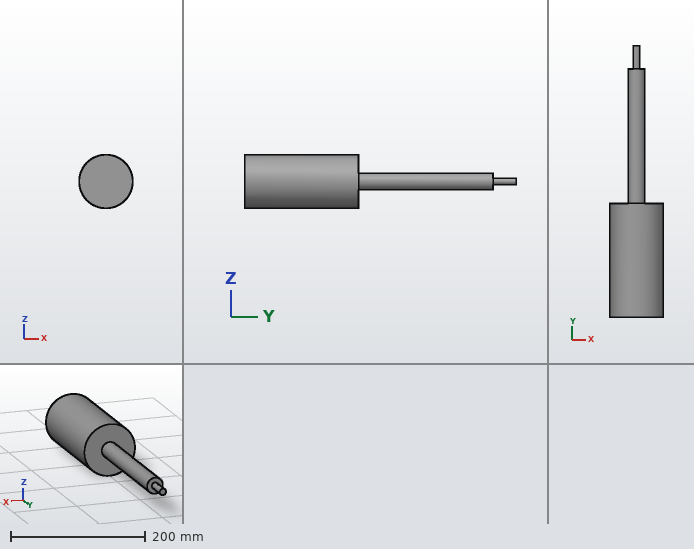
import cadquery as cq

total_length = 405.0
body_diameter = 80.0
body_length = 170.0
rod_diameter = 25.0
tip_diameter = 10.0
tip_length = 35.0

rod_length = total_length - body_length - tip_length


def cylinder_along_y(diameter, length, start_y):
    """Solid cylinder on the Y axis, growing toward +Y from start_y."""
    return cq.Workplane("XZ", origin=(0, start_y, 0)).circle(diameter / 2).extrude(-length)


def make_body():
    """Large cylinder with plain flat ends."""
    return cylinder_along_y(body_diameter, body_length, 0)


def make_stepped_rod():
    """Rod standing on the end face of the body, with a thinner tip."""
    rod = cylinder_along_y(rod_diameter, rod_length, body_length)
    tip = cylinder_along_y(tip_diameter, tip_length, body_length + rod_length)
    return rod.union(tip)


body = make_body()
stepped_rod = make_stepped_rod()

result = cq.Compound.makeCompound([body.val(), stepped_rod.val()])